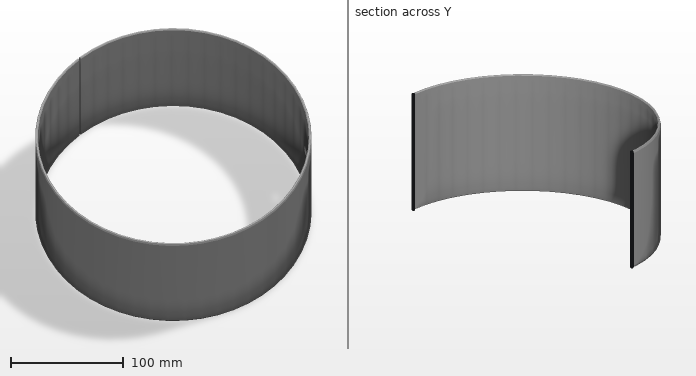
import math

import cadquery as cq

outer_diameter = 245.0
wall = 2.5
height = 110.0

outer_bevel_height = 1.8
outer_bevel_angle = 20.0
inner_bevel = 0.8

ring_start_angle = 180.0
slit_angle = 1.0

hole_diameter = 10.0
hole_angle = 59.0
hole_height = height / 2

outer_radius = outer_diameter / 2
inner_radius = outer_radius - wall
outer_bevel_width = outer_bevel_height * math.tan(math.radians(outer_bevel_angle))
ring_sweep = 360.0 - slit_angle


def make_ring():
    """Thin wall with bevelled rims, swept about Z and left open at the slit."""
    rim_inner_radius = inner_radius + inner_bevel
    rim_outer_radius = outer_radius - outer_bevel_width
    profile = (
        cq.Workplane("XZ")
        .moveTo(rim_inner_radius, 0)
        .lineTo(rim_outer_radius, 0)
        .lineTo(outer_radius, outer_bevel_height)
        .lineTo(outer_radius, height - outer_bevel_height)
        .lineTo(rim_outer_radius, height)
        .lineTo(rim_inner_radius, height)
        .lineTo(inner_radius, height - inner_bevel)
        .lineTo(inner_radius, inner_bevel)
        .close()
    )
    ring = profile.revolve(ring_sweep, (0, 0, 0), (0, 1, 0))
    return ring.rotate((0, 0, 0), (0, 0, 1), ring_start_angle)


def make_hole():
    """Cylinder pointing outward from the ring axis, through one side of the wall."""
    return (
        cq.Workplane("YZ")
        .center(0, hole_height)
        .circle(hole_diameter / 2)
        .extrude(outer_diameter)
        .rotate((0, 0, 0), (0, 0, 1), hole_angle)
    )


result = make_ring().cut(make_hole())